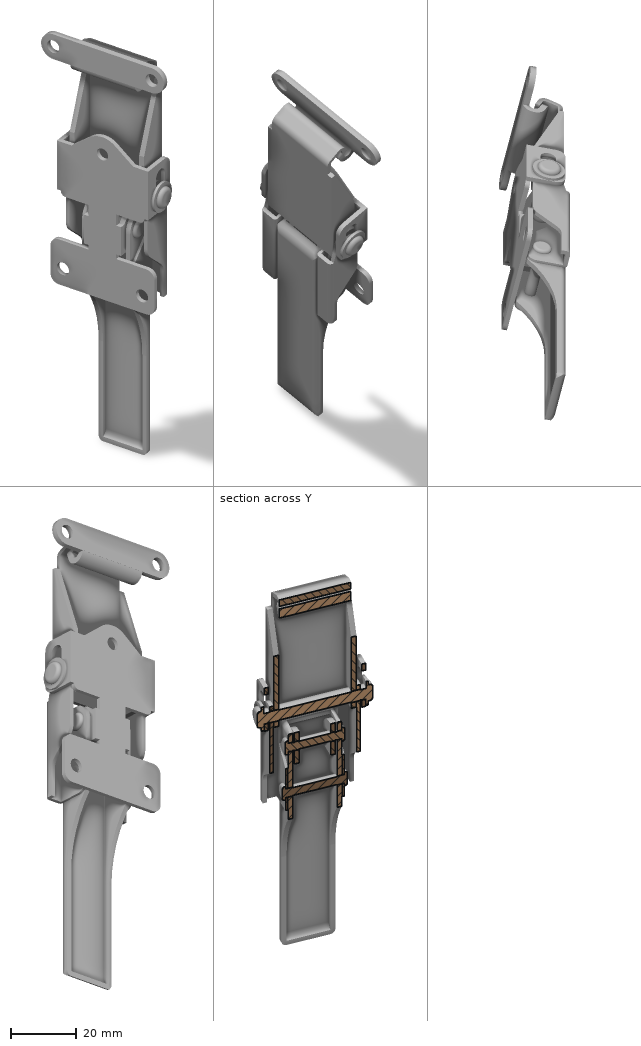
import cadquery as cq
import math


DEPTH = 14.3
HEIGHT = 147.8
BACK_Y = DEPTH / 2
FRONT_Y = -DEPTH / 2
TOP_Z = HEIGHT / 2
BOTTOM_Z = -HEIGHT / 2
SCREW_HOLE_DIA = 4.5

SLIDE_PIN_Y = -0.3
SLIDE_PIN_Z = 24.1
PIVOT_Y = -0.81
HANDLE_PIVOT_Z = 10.0
LINK_PIVOT_Z = -8.0

BASE_T = 1.5
BASE_BACK_Y = FRONT_Y + BASE_T
EAR_X = 16.7
EAR_TOP_Z = 36.4
EAR_BOTTOM_Z = 18.9
EAR_BACK_Y = 5.0
EAR_CORNER_R = 3.0
SLOT_WIDTH = 4.9
SLOT_TOP_Z = 31.3
HEAD_BOTTOM_Z = 17.2
HEAD_CORNER_R = 1.6
HUMP_X = 11.2
HUMP_APEX_Z = 45.1
HUMP_R = 7.4
HUMP_HOLE_Z = 37.0
HUMP_HOLE_DIA = 4.1
NECK_X = 5.0
LUG_X = 6.8
LUG_R = 5.5
LUG_TOP_Z = 13.2
LUG_BOTTOM_Z = 2.8
FOOT_WIDTH = 38.0
FOOT_TOP_Z = 1.2
FOOT_BOTTOM_Z = -15.0
FOOT_CORNER_R = 3.0
FOOT_HOLE_X = 14.5
FOOT_HOLE_Z = -8.9

STRIKE_T = 1.9
STRIKE_LENGTH = 45.0
STRIKE_HEIGHT = 8.9
STRIKE_HOLE_X = 18.0
STRIKE_LOOP_R = 3.5
STRIKE_LOOP_Z = 65.6
STRIKE_TAIL_LENGTH = 4.1
STRIKE_TAIL_CORNER_R = 2.4
HOOK_WIDTH = 23.7
HOOK_TILT = 22.0

LATCH_T = 1.5
LATCH_BACK_Y = 5.3
LATCH_BOTTOM_Z = 19.5
LATCH_FLANGE_T = 1.8
LATCH_FLANGE_X = HOOK_WIDTH / 2 + LATCH_FLANGE_T
LATCH_FLANGE_TOP_Z = 62.7
LATCH_FLANGE_FULL_Z = 39.3
FLANGE_FRONT_Y = -4.7
LATCH_SHOULDER_Z = 68.5
LATCH_CREST_Y = -1.5
LATCH_CREST_Z = 71.4
LATCH_TIP_LENGTH = 4.9
LATCH_BEND_R = 2.4

HANDLE_T = 1.6
HANDLE_WIDTH = 17.6
HANDLE_X = HANDLE_WIDTH / 2
HANDLE_TOP_Z = 16.3
HANDLE_BEND_R = 1.8
HANDLE_END_R = 3.8
HANDLE_RIM_Y = BACK_Y - 3.1
HANDLE_END_SIDE = HANDLE_END_R - (BACK_Y - HANDLE_RIM_Y)
HANDLE_END_Z = BOTTOM_Z + math.sqrt(HANDLE_END_R**2 - HANDLE_END_SIDE**2) - HANDLE_END_R
HANDLE_WALL_Y = BACK_Y - 12.3
HANDLE_WALL_TOP_R = 5.9
HANDLE_SWEEP_R = 37.0
HANDLE_SWEEP_Z = -38.1

LINK_T = 1.3
LINK_LEG_T = 0.9
LINK_X = LATCH_FLANGE_X + LINK_T
LINK_TOP_Z = 17.7
LINK_BOTTOM_Z = FOOT_BOTTOM_Z
LINK_BEND_R = 1.5
LINK_EYE_R = SLIDE_PIN_Y - FLANGE_FRONT_Y
LINK_RIM_Y = BACK_Y - 3.0
LINK_FLANGE_LOW_Z = 4.5
LINK_FLANGE_STRIP_Z = -3.7
LINK_FLANGE_CORNER_R = 4.5
LINK_LEG_FRONT_Y = -5.0
LINK_LEG_LOW_Z = -1.6
LINK_LEG_CORNER_R = 2.5

SLIDE_PIN_R = SLOT_WIDTH / 2
SLIDE_COLLAR_R = 5.0
SLIDE_COLLAR_T = 0.9
SLIDE_HEAD_R = 3.5
SLIDE_HEAD_T = FOOT_WIDTH / 2 - EAR_X - SLIDE_COLLAR_T
SLIDE_HEAD_FILLET = 1.2
RIVET_R = 1.8
RIVET_HEAD_R = 3.0
RIVET_HEAD_T = 1.0
RIVET_HEAD_FILLET = 0.96


def slab(profile, x_from, x_to):
    """Extrude a closed YZ profile between two X positions."""
    return profile.extrude(x_to - x_from).translate((x_from, 0, 0))


def yz():
    """A sketch seen along X, drawn in Y and Z."""
    return cq.Workplane("YZ")


def front_plate(outline, y_from, y_to):
    """Extrude a closed XZ outline between two Y positions."""
    return outline.extrude(-(y_to - y_from)).translate((0, y_from, 0))


def xz():
    """A sketch seen along Y, drawn in X and Z."""
    return cq.Workplane("XZ")


def rod(radius, half_length, y, z):
    """A cylinder along X, centred on X = 0."""
    return slab(yz().center(y, z).circle(radius), -half_length, half_length)


def both_sides(solid):
    """Join a solid with its mirror image across X = 0."""
    return solid.union(solid.mirror("YZ"))


def make_strike():
    """Screw plate whose tongue loops back and up into the latch hook."""
    mid_z = TOP_Z - STRIKE_HEIGHT / 2
    back_y = FRONT_Y + STRIKE_T
    plate = front_plate(
        xz().center(0, mid_z).slot2D(STRIKE_LENGTH, STRIKE_HEIGHT), FRONT_Y, back_y
    )
    holes = front_plate(
        xz().pushPoints([(-STRIKE_HOLE_X, mid_z), (STRIKE_HOLE_X, mid_z)]).circle(SCREW_HOLE_DIA / 2),
        FRONT_Y,
        back_y,
    )
    tilt = math.radians(HOOK_TILT)
    loop_y = FRONT_Y + STRIKE_LOOP_R

    def on_loop(radius, angle):
        return loop_y + radius * math.cos(angle), STRIKE_LOOP_Z + radius * math.sin(angle)

    def along_tail(point):
        y, z = point
        return y + STRIKE_TAIL_LENGTH * math.sin(tilt), z + STRIKE_TAIL_LENGTH * math.cos(tilt)

    inner_r = STRIKE_LOOP_R - STRIKE_T
    bottom = -math.pi / 2
    outer_end = on_loop(STRIKE_LOOP_R, -tilt)
    inner_end = on_loop(inner_r, -tilt)
    tongue = slab(
        yz()
        .moveTo(FRONT_Y, mid_z)
        .lineTo(FRONT_Y, STRIKE_LOOP_Z)
        .threePointArc(on_loop(STRIKE_LOOP_R, bottom), outer_end)
        .lineTo(*along_tail(outer_end))
        .lineTo(*along_tail(inner_end))
        .lineTo(*inner_end)
        .threePointArc(on_loop(inner_r, bottom), (back_y, STRIKE_LOOP_Z))
        .lineTo(back_y, mid_z)
        .close(),
        -HOOK_WIDTH / 2,
        HOOK_WIDTH / 2,
    )
    across_tail = cq.Vector(0, math.cos(tilt), -math.sin(tilt))
    tongue = tongue.edges(cq.selectors.ParallelDirSelector(across_tail)).fillet(STRIKE_TAIL_CORNER_R)
    return plate.union(tongue).cut(holes)


def make_latch():
    """Sheet bent over into a hook at the top, with a tapering flange on each side."""
    tilt = math.radians(HOOK_TILT)
    tip_y = LATCH_CREST_Y - LATCH_TIP_LENGTH * math.sin(tilt)
    tip_z = LATCH_CREST_Z - LATCH_TIP_LENGTH * math.cos(tilt)
    outer_face = cq.Wire.makePolygon(
        [
            cq.Vector(0, LATCH_BACK_Y, LATCH_BOTTOM_Z),
            cq.Vector(0, LATCH_BACK_Y, LATCH_SHOULDER_Z),
            cq.Vector(0, LATCH_CREST_Y, LATCH_CREST_Z),
            cq.Vector(0, tip_y, tip_z),
        ]
    ).fillet(LATCH_BEND_R)
    sheet = (
        cq.Workplane("XY", origin=(0, LATCH_BACK_Y - LATCH_T / 2, LATCH_BOTTOM_Z))
        .rect(HOOK_WIDTH, LATCH_T)
        .sweep(cq.Workplane(outer_face))
    )
    flange = slab(
        yz().polyline(
            [
                (LATCH_BACK_Y, LATCH_BOTTOM_Z),
                (LATCH_BACK_Y, LATCH_FLANGE_TOP_Z),
                (LATCH_BACK_Y - LATCH_T, LATCH_FLANGE_TOP_Z),
                (FLANGE_FRONT_Y, LATCH_FLANGE_FULL_Z),
                (FLANGE_FRONT_Y, LATCH_BOTTOM_Z),
            ]
        ).close(),
        -LATCH_FLANGE_X,
        -HOOK_WIDTH / 2,
    )
    pin_hole = rod(SLIDE_PIN_R, LATCH_FLANGE_X, SLIDE_PIN_Y, SLIDE_PIN_Z)
    return sheet.union(both_sides(flange)).cut(pin_hole)


def make_left_link():
    """Outer flange, back panel and inner leg of the left link."""
    leg_high_z = LINK_LEG_LOW_Z + LINK_RIM_Y - LINK_LEG_FRONT_Y

    bend_y = BACK_Y - LINK_BEND_R
    to_eye_y = SLIDE_PIN_Y - bend_y
    to_eye_z = SLIDE_PIN_Z - LINK_TOP_Z
    tangent = math.atan2(to_eye_z, to_eye_y) - math.asin(LINK_EYE_R / math.hypot(to_eye_y, to_eye_z))
    eye_back = (
        SLIDE_PIN_Y + LINK_EYE_R * math.sin(tangent),
        SLIDE_PIN_Z - LINK_EYE_R * math.cos(tangent),
    )
    flange = slab(
        yz()
        .moveTo(BACK_Y, LINK_BOTTOM_Z)
        .lineTo(BACK_Y, LINK_TOP_Z)
        .lineTo(bend_y, LINK_TOP_Z)
        .lineTo(*eye_back)
        .threePointArc((SLIDE_PIN_Y, SLIDE_PIN_Z + LINK_EYE_R), (FLANGE_FRONT_Y, SLIDE_PIN_Z))
        .lineTo(FLANGE_FRONT_Y, LINK_FLANGE_LOW_Z)
        .lineTo(LINK_RIM_Y, LINK_FLANGE_STRIP_Z)
        .lineTo(LINK_RIM_Y, LINK_BOTTOM_Z)
        .close(),
        -LINK_X,
        LINK_T - LINK_X,
    )
    flange_corners = cq.selectors.BoxSelector(
        (-LINK_X - LINK_T, FLANGE_FRONT_Y - LINK_T, LINK_FLANGE_STRIP_Z - LINK_T),
        (-LINK_X + LINK_T, LINK_RIM_Y + LINK_T, LINK_FLANGE_LOW_Z + LINK_T),
    )
    flange = flange.edges("|X").edges(flange_corners).fillet(LINK_FLANGE_CORNER_R)

    leg = slab(
        yz().polyline(
            [
                (BACK_Y, LINK_BOTTOM_Z),
                (BACK_Y, LINK_TOP_Z),
                (LINK_RIM_Y, LINK_TOP_Z),
                (LINK_RIM_Y, leg_high_z),
                (LINK_LEG_FRONT_Y, LINK_LEG_LOW_Z),
                (LINK_LEG_FRONT_Y, LINK_BOTTOM_Z),
            ]
        ).close(),
        -HANDLE_X - LINK_LEG_T,
        -HANDLE_X,
    )
    leg = leg.edges("|X and <Y").edges("<Z").fillet(LINK_LEG_CORNER_R)

    panel = (
        cq.Workplane("XY")
        .box(LINK_X - HANDLE_X, LINK_T, LINK_TOP_Z - LINK_BOTTOM_Z, centered=False)
        .translate((-LINK_X, BACK_Y - LINK_T, LINK_BOTTOM_Z))
    )
    link = flange.union(leg).union(panel)
    link = link.edges("|Z and >Y and <X").fillet(LINK_BEND_R)
    link = link.edges("|Z and >Y and >X").fillet(LINK_LEG_T)
    return link.cut(rod(SLIDE_PIN_R, LINK_X, SLIDE_PIN_Y, SLIDE_PIN_Z)).cut(
        rod(RIVET_R, LINK_X, PIVOT_Y, LINK_PIVOT_Z)
    )


def handle_block(inset):
    """The handle's outer block shrunk by `inset`: round back edges, corners and ends."""
    back_y = BACK_Y - inset
    half_width = HANDLE_X - inset
    top_z = HANDLE_TOP_Z - inset
    bottom_z = HANDLE_END_Z + inset
    end_r = HANDLE_END_R - inset
    bend_r = HANDLE_BEND_R - inset
    depth = BACK_Y - HANDLE_WALL_Y

    def box():
        return (
            cq.Workplane("XY")
            .box(2 * half_width, depth, top_z - bottom_z, centered=(True, False, False))
            .translate((0, back_y - depth, bottom_z))
        )

    ends = box().edges("|X and >Y").fillet(end_r)
    sides = box().edges("|Z and >Y").fillet(bend_r)
    corners = box().edges("|Y").fillet(bend_r)
    return ends.intersect(sides).intersect(corners)


def make_handle():
    """Tray with a low rim; the side walls deepen round the two pivots."""
    sweep_run = HANDLE_RIM_Y - HANDLE_WALL_Y
    sweep_angle = math.acos(1 - sweep_run / HANDLE_SWEEP_R)

    def on_sweep(angle):
        return (
            HANDLE_RIM_Y - HANDLE_SWEEP_R * (1 - math.cos(angle)),
            HANDLE_SWEEP_Z + HANDLE_SWEEP_R * math.sin(angle),
        )

    wall_top_z = HANDLE_PIVOT_Z + HANDLE_WALL_TOP_R
    corner_in = HANDLE_WALL_TOP_R * (1 - math.sqrt(0.5))
    side = slab(
        yz()
        .moveTo(BACK_Y, HANDLE_END_Z)
        .lineTo(HANDLE_RIM_Y, HANDLE_END_Z)
        .lineTo(HANDLE_RIM_Y, HANDLE_SWEEP_Z)
        .threePointArc(on_sweep(sweep_angle / 2), on_sweep(sweep_angle))
        .lineTo(HANDLE_WALL_Y, HANDLE_PIVOT_Z)
        .threePointArc(
            (HANDLE_WALL_Y + corner_in, wall_top_z - corner_in),
            (HANDLE_WALL_Y + HANDLE_WALL_TOP_R, wall_top_z),
        )
        .lineTo(HANDLE_RIM_Y, HANDLE_TOP_Z)
        .lineTo(BACK_Y, HANDLE_TOP_Z)
        .close(),
        -HANDLE_X,
        HANDLE_X,
    )
    throat = (
        cq.Workplane("XY")
        .box(HANDLE_WIDTH - 2 * HANDLE_T, sweep_run, HEIGHT, centered=(True, False, True))
        .translate((0, HANDLE_WALL_Y, 0))
    )
    handle = handle_block(0).intersect(side).cut(handle_block(HANDLE_T)).cut(throat)
    for pivot_z in (HANDLE_PIVOT_Z, LINK_PIVOT_Z):
        handle = handle.cut(rod(RIVET_R, HANDLE_X, PIVOT_Y, pivot_z))
    return handle


def base_head():
    """Upper plate with its hump and the two slotted ears."""
    inner_x = EAR_X - BASE_T
    plate = front_plate(
        xz().polyline(
            [(-EAR_X, EAR_BOTTOM_Z), (-EAR_X, EAR_TOP_Z), (EAR_X, EAR_TOP_Z), (EAR_X, EAR_BOTTOM_Z)]
        ).close(),
        FRONT_Y,
        BASE_BACK_Y,
    )
    hump = front_plate(
        xz().polyline([(-HUMP_X, EAR_TOP_Z), (0, HUMP_APEX_Z), (HUMP_X, EAR_TOP_Z)]).close(),
        FRONT_Y,
        BASE_BACK_Y,
    )
    hump = hump.edges("|Y and >Z").fillet(HUMP_R)
    skirt = front_plate(
        xz().center(0, (HEAD_BOTTOM_Z + EAR_TOP_Z) / 2).rect(2 * inner_x, EAR_TOP_Z - HEAD_BOTTOM_Z),
        FRONT_Y,
        BASE_BACK_Y,
    )
    skirt = skirt.edges("|Y and <Z").fillet(HEAD_CORNER_R)
    ear = slab(
        yz()
        .center((FRONT_Y + EAR_BACK_Y) / 2, (EAR_BOTTOM_Z + EAR_TOP_Z) / 2)
        .rect(EAR_BACK_Y - FRONT_Y, EAR_TOP_Z - EAR_BOTTOM_Z),
        -EAR_X,
        -inner_x,
    )
    ear = ear.edges("|X and >Y").fillet(EAR_CORNER_R)
    slot = slab(
        yz()
        .center(SLIDE_PIN_Y, (SLIDE_PIN_Z + SLOT_TOP_Z) / 2)
        .slot2D(SLOT_TOP_Z - SLIDE_PIN_Z + 2 * SLIDE_PIN_R, 2 * SLIDE_PIN_R, 90),
        -EAR_X,
        EAR_X,
    )
    hole = front_plate(xz().center(0, HUMP_HOLE_Z).circle(HUMP_HOLE_DIA / 2), FRONT_Y, BASE_BACK_Y)
    return plate.union(hump).union(skirt).union(both_sides(ear)).cut(slot).cut(hole)


def base_foot():
    """Lower plate with two screw holes."""
    foot = front_plate(
        xz().center(0, (FOOT_TOP_Z + FOOT_BOTTOM_Z) / 2).rect(FOOT_WIDTH, FOOT_TOP_Z - FOOT_BOTTOM_Z),
        FRONT_Y,
        BASE_BACK_Y,
    )
    foot = foot.edges("|Y").fillet(FOOT_CORNER_R)
    holes = front_plate(
        xz().pushPoints([(-FOOT_HOLE_X, FOOT_HOLE_Z), (FOOT_HOLE_X, FOOT_HOLE_Z)]).circle(SCREW_HOLE_DIA / 2),
        FRONT_Y,
        BASE_BACK_Y,
    )
    return foot.cut(holes)


def base_lug():
    """Left lug bent back from the neck, round over the handle pivot."""
    rise = LUG_TOP_Z - HANDLE_PIVOT_Z
    shoulder_y = PIVOT_Y - math.sqrt(LUG_R**2 - rise**2)
    return slab(
        yz()
        .moveTo(FRONT_Y, LUG_BOTTOM_Z)
        .lineTo(FRONT_Y, LUG_TOP_Z)
        .lineTo(shoulder_y, LUG_TOP_Z)
        .threePointArc((PIVOT_Y, HANDLE_PIVOT_Z + LUG_R), (PIVOT_Y + LUG_R, HANDLE_PIVOT_Z))
        .lineTo(PIVOT_Y + LUG_R, LUG_BOTTOM_Z)
        .close(),
        -LUG_X,
        -NECK_X,
    )


def make_base():
    """Head, foot, neck and lugs as one sheet."""
    neck = front_plate(
        xz().center(0, (HEAD_BOTTOM_Z + FOOT_TOP_Z) / 2).rect(2 * NECK_X, HEAD_BOTTOM_Z - FOOT_TOP_Z),
        FRONT_Y,
        BASE_BACK_Y,
    )
    lugs = both_sides(base_lug())
    pivot_hole = rod(RIVET_R, LUG_X, PIVOT_Y, HANDLE_PIVOT_Z)
    return base_head().union(base_foot()).union(neck).union(lugs).cut(pivot_hole)


def make_slide_pin():
    """Pin through ears, links and latch, with a collar and a round-edged head at each end."""
    head_end = EAR_X + SLIDE_COLLAR_T + SLIDE_HEAD_T
    pin = rod(SLIDE_HEAD_R, head_end, SLIDE_PIN_Y, SLIDE_PIN_Z)
    pin = pin.faces("<X or >X").edges().fillet(SLIDE_HEAD_FILLET)
    pin = pin.union(rod(SLIDE_COLLAR_R, EAR_X + SLIDE_COLLAR_T, SLIDE_PIN_Y, SLIDE_PIN_Z))
    span = rod(2 * SLIDE_COLLAR_R, EAR_X, SLIDE_PIN_Y, SLIDE_PIN_Z)
    return pin.cut(span).union(rod(SLIDE_PIN_R, EAR_X, SLIDE_PIN_Y, SLIDE_PIN_Z))


def make_rivet(pivot_z, seat_x):
    """A rivet through the handle whose heads bear on faces at X = +/- seat_x."""
    rivet = rod(RIVET_HEAD_R, seat_x + RIVET_HEAD_T, PIVOT_Y, pivot_z)
    rivet = rivet.faces("<X or >X").edges().fillet(RIVET_HEAD_FILLET)
    span = rod(2 * RIVET_HEAD_R, seat_x, PIVOT_Y, pivot_z)
    return rivet.cut(span).union(rod(RIVET_R, seat_x, PIVOT_Y, pivot_z))


strike = make_strike()
latch = make_latch()
left_link = make_left_link()
links = [left_link, left_link.mirror("YZ")]
handle = make_handle()
base = make_base()
slide_pin = make_slide_pin()
rivets = [
    make_rivet(HANDLE_PIVOT_Z, HANDLE_X),
    make_rivet(LINK_PIVOT_Z, HANDLE_X + LINK_LEG_T),
]

bodies = [strike, latch, *links, handle, base, slide_pin, *rivets]
result = cq.Compound.makeCompound([body.val() for body in bodies])